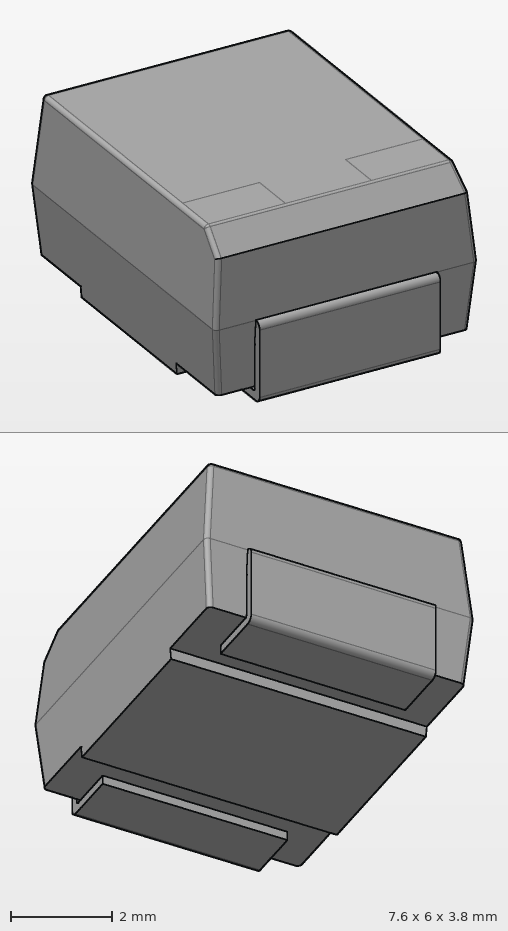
import cadquery as cq

body_length = 7.3
body_width = 6.0
height = 3.8
parting_z = 1.8
draft = 5.0
edge_radius = 0.1
bevel_leg = 0.5

pedestal_length = 3.78
recess_height = 0.25

panel_start_x = 1.91
panel_gap = 1.96
panel_depth = 0.05

overall_length = 7.6
lead_width = 4.12
lead_thickness = 0.2
lead_foot = 1.3
lead_outer_radius = 0.15
lead_inner_radius = 0.05


def body_half(depth):
    """Tapered half of the body, from the parting plane; negative depth goes down."""
    section = cq.Workplane("XY").workplane(offset=parting_z).rect(body_length, body_width)
    return section.extrude(depth, taper=draft)


def make_upper_half():
    """Upper half with a bevel on the +X top edge and rounded edges."""
    half = body_half(height - parting_z)
    half = half.faces(">Z").edges(">X").chamfer(bevel_leg)
    parting_edges = half.faces("<Z").edges()
    bevel_lower_edge = half.edges("|Y").edges(">>X[-2]")
    sharp = parting_edges.add(bevel_lower_edge).vals()
    rounded = [
        edge for edge in half.edges().vals()
        if not any(edge.isSame(other) for other in sharp)
    ]
    return half.newObject(rounded).fillet(edge_radius)


def make_lower_half():
    """Lower half with a recess under each end, leaving a central pedestal."""
    half = body_half(-parting_z)
    half = half.edges("not(|X or |Y)").fillet(edge_radius)
    recess_length = (body_length - pedestal_length) / 2
    for side in (-1, 1):
        recess = cq.Workplane("XY").box(
            recess_length, body_width, recess_height, centered=(True, True, False)
        )
        half = half.cut(recess.translate((side * (pedestal_length + recess_length) / 2, 0, 0)))
    return half


def make_lead():
    """L-shaped lead at the +X end: an upright with a foot folded under the body."""
    outer_x = overall_length / 2
    profile = (
        cq.Workplane("XZ")
        .moveTo(outer_x, 0)
        .lineTo(outer_x, parting_z)
        .lineTo(outer_x - lead_thickness, parting_z)
        .lineTo(outer_x - lead_thickness, lead_thickness)
        .lineTo(outer_x - lead_foot, lead_thickness)
        .lineTo(outer_x - lead_foot, 0)
        .close()
    )
    lead = profile.extrude(lead_width / 2, both=True)
    lead = lead.edges("|Y and >X").fillet(lead_outer_radius)
    inner_bend = cq.selectors.NearestToPointSelector((outer_x - lead_thickness, 0, lead_thickness))
    return lead.edges(inner_bend).fillet(lead_inner_radius)


def imprint_panels(body):
    """Inlay two flush panels that reach the rounded edges of the top face."""
    top_face = body.faces(">Z").val().BoundingBox()
    length = top_face.xmax - panel_start_x
    width = top_face.ymax - panel_gap / 2
    center_x = panel_start_x + length / 2
    center_y = (panel_gap + width) / 2
    for side in (-1, 1):
        panel = cq.Workplane("XY").box(length, width, panel_depth)
        panel = panel.translate((center_x, side * center_y, height - panel_depth / 2))
        body = body.cut(panel, clean=False).union(panel, clean=False)
    return body


lead = make_lead()
body = make_upper_half().union(make_lower_half())
body = body.union(lead).union(lead.mirror("YZ"))
result = imprint_panels(body)